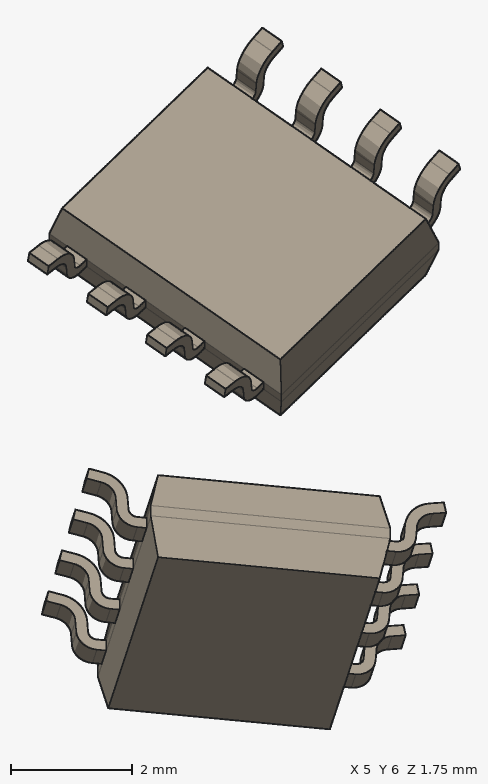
import cadquery as cq
import math

QUARTER_TURN = math.pi / 2

BODY_LENGTH = 5.0
BODY_WIDTH = 4.0
BODY_HEIGHT = 1.6
BAND_HEIGHT = 0.2
DRAFT_INSET = 0.15
HALF_HEIGHT = (BODY_HEIGHT - BAND_HEIGHT) / 2
DRAFT_ANGLE = math.degrees(math.atan(DRAFT_INSET / HALF_HEIGHT))

OVERALL_WIDTH = 6.0
OVERALL_HEIGHT = 1.75
LEADS_PER_SIDE = 4
LEAD_PITCH = 1.27
LEAD_WIDTH = 0.42
LEAD_THICKNESS = BAND_HEIGHT
LEAD_EMBED = 0.3
SHOULDER_LENGTH = 0.16
LOWER_BEND_RADIUS = 0.14
RISER_LENGTH = 0.21
RISER_LEAN = math.radians(4)
FOOT_RISE = math.radians(11)


def make_body():
    band = cq.Workplane("XY").workplane(offset=HALF_HEIGHT).rect(BODY_LENGTH, BODY_WIDTH).extrude(BAND_HEIGHT)
    upper = band.faces(">Z").wires().toPending().extrude(HALF_HEIGHT, taper=DRAFT_ANGLE)
    lower = upper.mirror("XY", (0, 0, BODY_HEIGHT / 2))
    return upper.union(lower)


def along(point, angle, distance):
    """Point reached by moving a distance in the (Y, Z) plane at an angle above +Y."""
    return (point[0] + distance * math.cos(angle), point[1] + distance * math.sin(angle))


def add_bent_face(profile, points):
    """Extend a profile from the first point through line, arc, line, arc and line."""
    _, bend_start, bend_middle, bend_end, next_start, next_middle, next_end, finish = points
    profile = profile.lineTo(*bend_start).threePointArc(bend_middle, bend_end)
    profile = profile.lineTo(*next_start).threePointArc(next_middle, next_end)
    return profile.lineTo(*finish)


def make_lead():
    """One lead on the +Y side, centred on X = 0."""
    riser = QUARTER_TURN - RISER_LEAN
    half_thickness = LEAD_THICKNESS / 2
    lower_radius = LOWER_BEND_RADIUS + half_thickness

    root = (BODY_WIDTH / 2 - LEAD_EMBED, BODY_HEIGHT / 2)
    shoulder_end = along(root, 0, LEAD_EMBED + SHOULDER_LENGTH)
    lower_centre = along(shoulder_end, QUARTER_TURN, lower_radius)
    riser_start = along(lower_centre, riser - QUARTER_TURN, lower_radius)
    riser_end = along(riser_start, riser, RISER_LENGTH)

    tip_y = OVERALL_WIDTH / 2 - half_thickness * math.sin(FOOT_RISE)
    tip_z = OVERALL_HEIGHT - half_thickness * math.cos(FOOT_RISE)
    tip = (tip_y, tip_z)

    gap_y = tip[0] - riser_end[0]
    gap_z = tip[1] - riser_end[1]
    turn = riser - FOOT_RISE
    tangent = (gap_z * math.cos(FOOT_RISE) - gap_y * math.sin(FOOT_RISE)) / math.sin(turn)
    upper_radius = tangent / math.tan(turn / 2)
    upper_centre = along(riser_end, riser - QUARTER_TURN, upper_radius)
    foot_start = along(upper_centre, FOOT_RISE + QUARTER_TURN, upper_radius)

    lower_middle = riser / 2 - QUARTER_TURN
    upper_middle = (riser + FOOT_RISE) / 2 + QUARTER_TURN

    def side(offset):
        """Corner and arc points of the strip face lying an offset above the centre line."""
        return [
            along(root, QUARTER_TURN, offset),
            along(shoulder_end, QUARTER_TURN, offset),
            along(lower_centre, lower_middle, lower_radius - offset),
            along(riser_start, riser + QUARTER_TURN, offset),
            along(riser_end, riser + QUARTER_TURN, offset),
            along(upper_centre, upper_middle, upper_radius + offset),
            along(foot_start, FOOT_RISE + QUARTER_TURN, offset),
            along(tip, FOOT_RISE + QUARTER_TURN, offset),
        ]

    top = side(half_thickness)
    bottom = side(-half_thickness)[::-1]
    profile = cq.Workplane("YZ").moveTo(*top[0])
    profile = add_bent_face(profile, top)
    profile = profile.lineTo(*bottom[0])
    profile = add_bent_face(profile, bottom)
    return profile.close().extrude(LEAD_WIDTH / 2, both=True)


def make_part():
    part = make_body()
    lead = make_lead()
    for index in range(LEADS_PER_SIDE):
        x = (index - (LEADS_PER_SIDE - 1) / 2) * LEAD_PITCH
        placed = lead.translate((x, 0, 0))
        part = part.union(placed).union(placed.mirror("XZ"))
    return part


result = make_part()